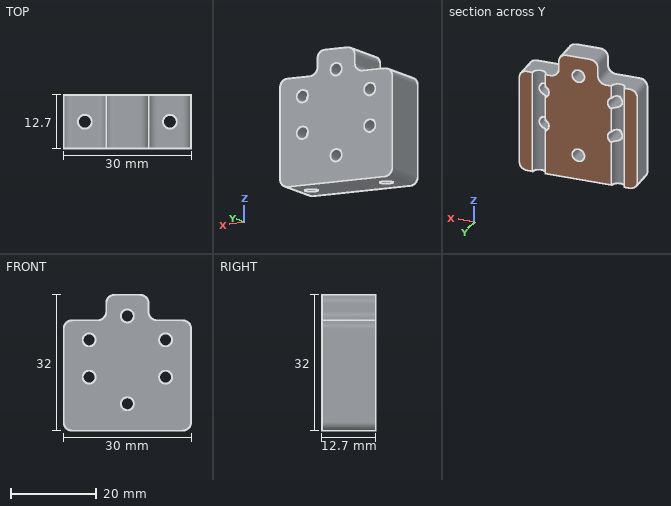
import cadquery as cq
import math

body_width = 30.0
body_height = 26.0
thickness = 12.7

tab_width = 10.0
tab_height = 6.0
total_height = body_height + tab_height

corner_radius = 2.0

face_hole_diameter = 3.0
hole_circle_height = 17.0
hole_circle_radius = 10.0
side_hole_angle = 26.0
lower_hole_height = 6.35

shoulder_hole_diameter = 3.2
shoulder_hole_offset = 10.0


def make_body():
    """Stepped plate, centred on X and Y, standing on Z = 0."""
    half_body = body_width / 2
    half_tab = tab_width / 2
    outline = [
        (-half_body, 0),
        (half_body, 0),
        (half_body, body_height),
        (half_tab, body_height),
        (half_tab, total_height),
        (-half_tab, total_height),
        (-half_tab, body_height),
        (-half_body, body_height),
    ]
    plate = cq.Workplane("XZ").polyline(outline).close().extrude(thickness / 2, both=True)
    return plate.edges("|Y").fillet(corner_radius)


def hole_circle_point(angle):
    """Point (x, z) on the hole circle, at an angle in degrees from +X."""
    radians = math.radians(angle)
    x = hole_circle_radius * math.cos(radians)
    z = hole_circle_height + hole_circle_radius * math.sin(radians)
    return (x, z)


def make_face_holes():
    """Cylinders along Y: five on the hole circle and one lower on the centre line."""
    circle_angles = [
        90,
        side_hole_angle,
        -side_hole_angle,
        180 - side_hole_angle,
        180 + side_hole_angle,
    ]
    centers = [hole_circle_point(angle) for angle in circle_angles]
    centers.append((0, lower_hole_height))
    holes = cq.Workplane("XZ").pushPoints(centers).circle(face_hole_diameter / 2)
    return holes.extrude(thickness, both=True)


def make_shoulder_holes():
    """Cylinders along Z, one through each shoulder, at mid thickness."""
    centers = [(side * shoulder_hole_offset, 0) for side in (-1, 1)]
    holes = cq.Workplane("XY").pushPoints(centers).circle(shoulder_hole_diameter / 2)
    return holes.extrude(total_height)


result = make_body().cut(make_face_holes()).cut(make_shoulder_holes())